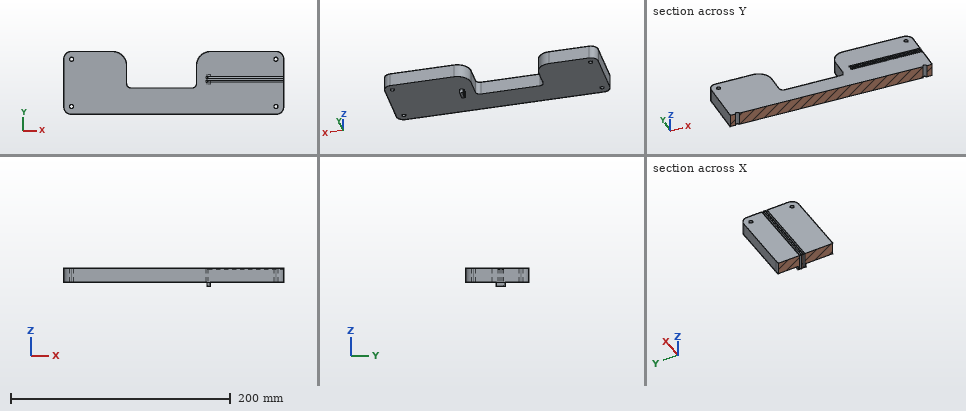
import cadquery as cq

length = 200.4
width = 57.4
thickness = 13.0
corner_radius = 7.0

recess_left = 57.4
recess_right = 120.8
recess_depth = 33.3
recess_mouth_radius = 13.0
recess_floor_radius = 4.0

screw_hole_diameter = 3.5
screw_hole_inset = 7.2

channel_diameter = 1.7
channel_wall_height = 0.45
channel_spacing = 3.5
channel_start_x = 130.4
channel_pair_center_y = 31.95
channel_centers_y = [channel_pair_center_y + side * channel_spacing / 2 for side in (-1, 1)]

block_length = 3.2
block_width = 8.5
block_height = 4.0


def make_plate():
    """Flat plate with rounded corners and a rounded recess in its back edge."""
    plate = cq.Workplane("XY").box(length, width, thickness, centered=False)
    plate = plate.edges("|Z").fillet(corner_radius)
    floor_y = width - recess_depth
    recess = (
        cq.Workplane("XY")
        .moveTo(recess_left - recess_mouth_radius, width)
        .radiusArc((recess_left, width - recess_mouth_radius), recess_mouth_radius)
        .lineTo(recess_left, floor_y + recess_floor_radius)
        .radiusArc((recess_left + recess_floor_radius, floor_y), -recess_floor_radius)
        .lineTo(recess_right - recess_floor_radius, floor_y)
        .radiusArc((recess_right, floor_y + recess_floor_radius), -recess_floor_radius)
        .lineTo(recess_right, width - recess_mouth_radius)
        .radiusArc((recess_right + recess_mouth_radius, width), recess_mouth_radius)
        .close()
        .extrude(thickness)
    )
    return plate.cut(recess)


def make_screw_holes():
    """Four through holes near the plate corners."""
    return (
        cq.Workplane("XY")
        .center(length / 2, width / 2)
        .rect(length - 2 * screw_hole_inset, width - 2 * screw_hole_inset, forConstruction=True)
        .vertices()
        .circle(screw_hole_diameter / 2)
        .extrude(thickness)
    )


def make_block():
    """Small block hanging below the plate, on the right-hand side of the bores."""
    return (
        cq.Workplane("XY")
        .box(block_length, block_width, block_height, centered=(False, True, False))
        .translate((channel_start_x, channel_pair_center_y, -block_height))
    )


def make_channel(center_y):
    """U-shaped groove in the top face, running from the bore to the right edge."""
    radius = channel_diameter / 2
    return (
        cq.Workplane("YZ")
        .workplane(offset=channel_start_x)
        .center(center_y, thickness - channel_wall_height)
        .moveTo(-radius, channel_wall_height)
        .lineTo(-radius, 0)
        .threePointArc((0, -radius), (radius, 0))
        .lineTo(radius, channel_wall_height)
        .close()
        .extrude(length - channel_start_x)
    )


def make_bore(center_y):
    """Vertical hole through the plate and along the left face of the block."""
    return (
        cq.Workplane("XY")
        .workplane(offset=-block_height)
        .center(channel_start_x, center_y)
        .circle(channel_diameter / 2)
        .extrude(block_height + thickness)
    )


result = make_plate().union(make_block()).cut(make_screw_holes())
for channel_y in channel_centers_y:
    result = result.cut(make_bore(channel_y)).cut(make_channel(channel_y))